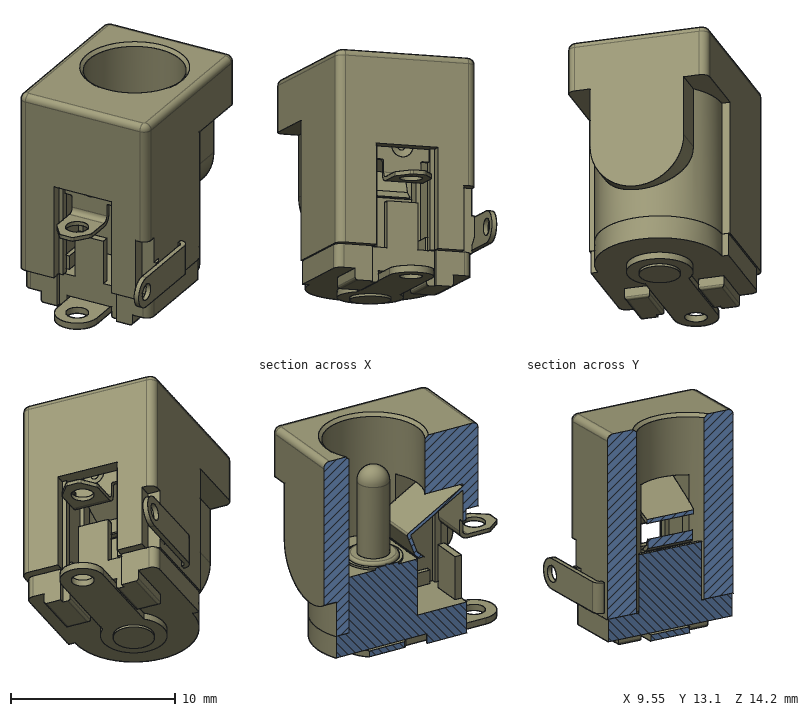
import cadquery as cq
import math


TOTAL_HEIGHT = 14.2
HALF_WIDTH = 4.5
FRONT_Y = -6.52
BACK_Y = 4.53
HOUSING_BOTTOM_Z = 2.19
HEAD_BOTTOM_Z = 10.89
CORNER_RADIUS = 0.51
TOP_EDGE_RADIUS = 0.41
BODY_RADIUS = 3.98
BACK_BOSS_RADIUS = 3.0
BACK_BOSS_CENTRE_Z = 7.05

BARREL_RADIUS = 3.14
BARREL_CHAMFER = 0.21
BARREL_FLOOR_Z = 5.99

SLOT_HALF_WIDTH = 2.0
CAVITY_HALF_WIDTH = 1.72
SLOT_TOP_Z = 8.46
SHOULDER_Y = -5.9
CAVITY_TOP_Z = 10.22
SHOULDER_BACK_Y = -5.45
POCKET_STEP_Y = -5.08
POCKET_STEP_Z = 3.11
POCKET_BACK_Y = -3.41

NOTCH_WIDTH = 0.82
NOTCH_BACK_Y = -5.68
NOTCH_TOP_Z = 6.22
CATCH_HEIGHT = 0.17
CATCH_TOP_Z = 4.55
CATCH_LENGTH = 0.6
CATCH_SIDE_RAMP = 0.31
CATCH_BOTTOM_Z = 2.7
CATCH_BOTTOM_RAMP = 0.53

TIP_Y = -8.58
TAB_HOLE_RADIUS = 0.7

SPRING_THICKNESS = 0.25
LEAF_FRONT_Y = -5.65
LEAF_SHOULDER_Z = 7.68
LEAF_CORNER_RADIUS = 0.13
TAB_TOP_Z = 6.53
TAB_HALF_WIDTH = 1.2
TAB_TIP_HALF_WIDTH = 0.44
TAB_CORNER_Y = -7.6
TAB_CORNER_RADIUS = 0.2
TAB_BEND_RADIUS = 0.34
TAB_HOLE_Y = -7.2
DIMPLE_Z = 8.59
DIMPLE_RADIUS = 0.7
DIMPLE_FLOOR_RADIUS = 0.24
DIMPLE_DEPTH = 0.17
CONTACT_Y = -1.39
CONTACT_Z = 7.81
CONTACT_EDGE_RADIUS = 0.14
CONTACT_HALF_WIDTH = 1.6
ARM_TAPER_START_Y = -2.48
ARM_TOP_Z = 10.08
TAIL_BEND = (-1.97, 6.28)
TAIL_END = (-2.7, 5.62)

SIDE_TERMINAL_THICKNESS = 0.31
SIDE_TERMINAL_OUTER_X = 5.05
SIDE_TERMINAL_BACK_Y = -2.33
SIDE_TERMINAL_Z = 3.52
SIDE_TERMINAL_HALF_WIDTH = 1.0
SIDE_BEND_RADIUS = 0.5
SIDE_HOLE_RADIUS = 0.53
SIDE_TERMINAL_ROOT = 0.71

BASE_BOTTOM_Z = 0.72
BASE_HALF_WIDTH = 4.4
BASE_FRONT_Y = -5.99
BASE_CORNER_RADIUS = 0.48
RECESS_HALF_WIDTH = 2.06
RECESS_BACK_Y = -5.7
FOOT_INNER_X = 1.56
FOOT_OUTER_X = 3.18
FOOT_BACK_Y = -2.85
FOOT_EDGE_RADIUS = 0.15
TONGUE_HALF_WIDTH = 1.0
TONGUE_TOP_Z = 5.1
TONGUE_BACK_Y = -5.23

PLUG_FRONT_Y = -2.19
PLUG_FRONT_HALF_WIDTH = 2.1
PLUG_CORNER_HALF_WIDTH = 2.37
PLUG_CORNER_Y = -1.9
COLLAR_RADIUS = 1.8
COLLAR_HEIGHT = 0.14
BOSS_RADIUS = 1.6
BOSS_HEIGHT = 0.37
BOSS_EDGE_RADIUS = 0.21
PIN_RADIUS = 1.01
PIN_TOP_Z = 12.2

REAR_TERMINAL_BOTTOM_Z = 0.2
REAR_TERMINAL_TOP_Z = 0.62
REAR_DISC_RADIUS = 2.03
REAR_TAB_HALF_WIDTH = 1.39
RIVET_NECK_RADIUS = 1.04
RIVET_HEAD_RADIUS = 1.26
RIVET_BOTTOM_Z = 0.04


def block(x0, x1, y0, y1, z0, z1):
    """Box between opposite corners."""
    return cq.Workplane("XY").box(x1 - x0, y1 - y0, z1 - z0, centered=False).translate((x0, y0, z0))


def disc(radius, z0, z1, y=0):
    """Upright cylinder with its axis at x = 0."""
    return cq.Workplane("XY").workplane(offset=z0).center(0, y).circle(radius).extrude(z1 - z0)


def x_prism(outline, half_width):
    """Prism along X, centred on x = 0, from (y, z) points."""
    return cq.Workplane("YZ").polyline(outline).close().extrude(half_width, both=True)


def strip_outline(path, thickness):
    """Outline of a bent strip that lies to the left of a path, with mitred bends."""
    angles = [math.atan2(b[1] - a[1], b[0] - a[0]) for a, b in zip(path, path[1:])]
    before = [angles[0]] + angles
    after = angles + [angles[-1]]
    far_side = []
    for (y, z), a, b in zip(path, before, after):
        reach = thickness / math.cos((b - a) / 2)
        normal = (a + b) / 2 + math.pi / 2
        far_side.append((y + reach * math.cos(normal), z + reach * math.sin(normal)))
    return path + far_side[::-1]


def housing_shell():
    head = block(-HALF_WIDTH, HALF_WIDTH, FRONT_Y, BACK_Y, HEAD_BOTTOM_Z, TOTAL_HEIGHT)
    head = head.edges("|Z").fillet(CORNER_RADIUS).faces(">Z").edges().fillet(TOP_EDGE_RADIUS)
    lower = block(-HALF_WIDTH, HALF_WIDTH, FRONT_Y, 0, HOUSING_BOTTOM_Z, HEAD_BOTTOM_Z)
    lower = lower.edges("|Z and <Y").fillet(CORNER_RADIUS)
    rear = disc(BODY_RADIUS, HOUSING_BOTTOM_Z, HEAD_BOTTOM_Z)
    return head.union(lower).union(rear).union(back_boss())


def back_boss():
    """Boss on the +Y side with a half-round lower end."""
    upper = block(-BACK_BOSS_RADIUS, BACK_BOSS_RADIUS, 0, BACK_Y, BACK_BOSS_CENTRE_Z, HEAD_BOTTOM_Z)
    lower_end = (
        cq.Workplane("XZ").center(0, BACK_BOSS_CENTRE_Z).circle(BACK_BOSS_RADIUS).extrude(-BACK_Y)
    )
    return upper.union(lower_end)


def barrel_bore():
    bore = disc(BARREL_RADIUS, HOUSING_BOTTOM_Z, TOTAL_HEIGHT)
    mouth = cq.Solid.makeCone(
        BARREL_RADIUS, BARREL_RADIUS + BARREL_CHAMFER, BARREL_CHAMFER,
        pnt=cq.Vector(0, 0, TOTAL_HEIGHT - BARREL_CHAMFER),
    )
    return bore.union(cq.Workplane(mouth))


def spring_opening():
    """Front slot with shoulders, the wider pocket behind them and the cavity up to the barrel."""
    slot = block(-SLOT_HALF_WIDTH, SLOT_HALF_WIDTH, FRONT_Y, SHOULDER_Y, HOUSING_BOTTOM_Z, SLOT_TOP_Z)
    passage = block(-CAVITY_HALF_WIDTH, CAVITY_HALF_WIDTH, SHOULDER_Y, 0, HOUSING_BOTTOM_Z, SLOT_TOP_Z)
    cavity = block(-CAVITY_HALF_WIDTH, CAVITY_HALF_WIDTH, LEAF_FRONT_Y, 0, HOUSING_BOTTOM_Z, CAVITY_TOP_Z)
    pocket = block(
        -SLOT_HALF_WIDTH, SLOT_HALF_WIDTH, SHOULDER_BACK_Y, POCKET_STEP_Y, HOUSING_BOTTOM_Z, SLOT_TOP_Z
    )
    raised_pocket = block(
        -SLOT_HALF_WIDTH, SLOT_HALF_WIDTH, POCKET_STEP_Y, POCKET_BACK_Y, POCKET_STEP_Z, SLOT_TOP_Z
    )
    return slot.union(passage).union(cavity).union(pocket).union(raised_pocket)


def corner_notch():
    return block(
        HALF_WIDTH - NOTCH_WIDTH, HALF_WIDTH, FRONT_Y, NOTCH_BACK_Y, HOUSING_BOTTOM_Z, NOTCH_TOP_Z
    )


def terminal_catch():
    """Wedge on the +X face, ramped at its rear and lower ends."""
    root_x = HALF_WIDTH - CATCH_HEIGHT
    crest_x = HALF_WIDTH + CATCH_HEIGHT
    rear_y = NOTCH_BACK_Y + CATCH_LENGTH
    plan = [
        (root_x, NOTCH_BACK_Y), (crest_x, NOTCH_BACK_Y), (crest_x, rear_y - CATCH_SIDE_RAMP),
        (HALF_WIDTH, rear_y), (root_x, rear_y),
    ]
    profile = [
        (root_x, CATCH_TOP_Z), (crest_x, CATCH_TOP_Z), (crest_x, CATCH_BOTTOM_Z + CATCH_BOTTOM_RAMP),
        (HALF_WIDTH, CATCH_BOTTOM_Z), (root_x, CATCH_BOTTOM_Z),
    ]
    plan_prism = (
        cq.Workplane("XY").workplane(offset=CATCH_BOTTOM_Z).polyline(plan).close()
        .extrude(CATCH_TOP_Z - CATCH_BOTTOM_Z)
    )
    side_prism = (
        cq.Workplane("XZ", origin=(0, rear_y, 0)).polyline(profile).close().extrude(CATCH_LENGTH)
    )
    return plan_prism.intersect(side_prism)


def spring_tab():
    """Solder tab with a tapered tip, the narrow leaf above it and the bend between them."""
    tab_bottom_z = TAB_TOP_Z - SPRING_THICKNESS
    leaf_back_y = LEAF_FRONT_Y + SPRING_THICKNESS
    profile = [
        (TIP_Y, tab_bottom_z), (leaf_back_y, tab_bottom_z), (leaf_back_y, LEAF_SHOULDER_Z),
        (LEAF_FRONT_Y, LEAF_SHOULDER_Z), (LEAF_FRONT_Y, TAB_TOP_Z), (TIP_Y, TAB_TOP_Z),
    ]
    bent = x_prism(profile, TAB_HALF_WIDTH)
    bent = bent.edges(cq.NearestToPointSelector((0, LEAF_FRONT_Y, TAB_TOP_Z))).fillet(TAB_BEND_RADIUS)
    bent = bent.edges(cq.NearestToPointSelector((0, leaf_back_y, tab_bottom_z))).fillet(
        TAB_BEND_RADIUS + SPRING_THICKNESS
    )
    plan = [
        (-TAB_HALF_WIDTH, leaf_back_y), (-TAB_HALF_WIDTH, TAB_CORNER_Y), (-TAB_TIP_HALF_WIDTH, TIP_Y),
        (TAB_TIP_HALF_WIDTH, TIP_Y), (TAB_HALF_WIDTH, TAB_CORNER_Y), (TAB_HALF_WIDTH, leaf_back_y),
    ]
    tapered = cq.Workplane("XY").polyline(plan).close().extrude(TOTAL_HEIGHT)
    tapered = tapered.edges("|Z and (not >Y)").fillet(TAB_CORNER_RADIUS)
    hole = disc(TAB_HOLE_RADIUS, tab_bottom_z, TAB_TOP_Z, y=TAB_HOLE_Y)
    return bent.intersect(tapered).cut(hole)


def spring_leaf():
    """Wide upright leaf held between the slot shoulders, with a dimple in its front."""
    leaf = block(
        -CAVITY_HALF_WIDTH, CAVITY_HALF_WIDTH, LEAF_FRONT_Y, LEAF_FRONT_Y + SPRING_THICKNESS,
        LEAF_SHOULDER_Z, CAVITY_TOP_Z,
    )
    dimple = cq.Solid.makeCone(
        DIMPLE_RADIUS, DIMPLE_FLOOR_RADIUS, DIMPLE_DEPTH,
        pnt=cq.Vector(0, LEAF_FRONT_Y, DIMPLE_Z), dir=cq.Vector(0, 1, 0),
    )
    return leaf.cut(cq.Workplane(dimple))


def spring_arm():
    """Contact arm that slopes down from the leaf to the barrel, and its returning tail."""
    top_y = LEAF_FRONT_Y + SPRING_THICKNESS
    arm_path = [(top_y, ARM_TOP_Z), (CONTACT_Y, CONTACT_Z)]
    arm = x_prism(strip_outline(arm_path, -SPRING_THICKNESS), CAVITY_HALF_WIDTH)
    taper = [
        (-CAVITY_HALF_WIDTH, LEAF_FRONT_Y), (-CAVITY_HALF_WIDTH, ARM_TAPER_START_Y),
        (-CONTACT_HALF_WIDTH, CONTACT_Y), (CONTACT_HALF_WIDTH, CONTACT_Y),
        (CAVITY_HALF_WIDTH, ARM_TAPER_START_Y), (CAVITY_HALF_WIDTH, LEAF_FRONT_Y),
    ]
    arm = arm.intersect(cq.Workplane("XY").polyline(taper).close().extrude(TOTAL_HEIGHT))
    tail_path = [(CONTACT_Y, CONTACT_Z), TAIL_BEND, TAIL_END]
    tail = x_prism(strip_outline(tail_path, -SPRING_THICKNESS), CONTACT_HALF_WIDTH)
    below_floor = block(
        -CONTACT_HALF_WIDTH, CONTACT_HALF_WIDTH, LEAF_FRONT_Y, 0, HOUSING_BOTTOM_Z, BARREL_FLOOR_Z
    )
    tail = tail.cut(below_floor)
    arm = arm.union(tail)
    return arm.edges(cq.NearestToPointSelector((0, CONTACT_Y, CONTACT_Z))).fillet(CONTACT_EDGE_RADIUS)


def make_spring():
    """Whole spring contact, with rounded inner corners where the wide leaf meets the narrow one."""
    front = spring_leaf().union(spring_tab())
    for side in (-1, 1):
        corner = (side * TAB_HALF_WIDTH, LEAF_FRONT_Y + SPRING_THICKNESS / 2, LEAF_SHOULDER_Z)
        front = front.edges(cq.NearestToPointSelector(corner)).fillet(LEAF_CORNER_RADIUS)
    return front.union(spring_arm())


def side_terminal():
    """Strip that leaves the +X wall, turns forward and ends in a rounded solder tab."""
    inner_x = SIDE_TERMINAL_OUTER_X - SIDE_TERMINAL_THICKNESS
    root_x = HALF_WIDTH - SIDE_TERMINAL_ROOT
    outline = [
        (root_x, SIDE_TERMINAL_BACK_Y), (SIDE_TERMINAL_OUTER_X, SIDE_TERMINAL_BACK_Y),
        (SIDE_TERMINAL_OUTER_X, TIP_Y), (inner_x, TIP_Y),
        (inner_x, SIDE_TERMINAL_BACK_Y - SIDE_TERMINAL_THICKNESS),
        (root_x, SIDE_TERMINAL_BACK_Y - SIDE_TERMINAL_THICKNESS),
    ]
    strip = (
        cq.Workplane("XY").workplane(offset=SIDE_TERMINAL_Z - SIDE_TERMINAL_HALF_WIDTH)
        .polyline(outline).close().extrude(2 * SIDE_TERMINAL_HALF_WIDTH)
    )
    outer_corner = (SIDE_TERMINAL_OUTER_X, SIDE_TERMINAL_BACK_Y, SIDE_TERMINAL_Z)
    inner_corner = (inner_x, SIDE_TERMINAL_BACK_Y - SIDE_TERMINAL_THICKNESS, SIDE_TERMINAL_Z)
    strip = strip.edges(cq.NearestToPointSelector(outer_corner)).fillet(SIDE_BEND_RADIUS)
    strip = strip.edges(cq.NearestToPointSelector(inner_corner)).fillet(
        SIDE_BEND_RADIUS - SIDE_TERMINAL_THICKNESS
    )
    tip_centre_y = TIP_Y + SIDE_TERMINAL_HALF_WIDTH
    strip_length = SIDE_TERMINAL_BACK_Y - tip_centre_y
    side_face = cq.Workplane("YZ").center(tip_centre_y, SIDE_TERMINAL_Z)
    straight = (
        cq.Workplane("YZ").center(tip_centre_y + strip_length / 2, SIDE_TERMINAL_Z)
        .rect(strip_length, 2 * SIDE_TERMINAL_HALF_WIDTH).extrude(SIDE_TERMINAL_OUTER_X)
    )
    rounded_tip = side_face.circle(SIDE_TERMINAL_HALF_WIDTH).extrude(SIDE_TERMINAL_OUTER_X)
    hole = side_face.circle(SIDE_HOLE_RADIUS).extrude(SIDE_TERMINAL_OUTER_X)
    return strip.intersect(straight.union(rounded_tip)).cut(hole)


def make_housing():
    plastic = housing_shell().cut(barrel_bore()).cut(spring_opening()).cut(corner_notch())
    plastic = plastic.union(terminal_catch())
    return plastic.union(make_spring()).union(side_terminal())


def insert_base():
    front = block(-BASE_HALF_WIDTH, BASE_HALF_WIDTH, BASE_FRONT_Y, 0, BASE_BOTTOM_Z, HOUSING_BOTTOM_Z)
    front = front.edges("|Z and <Y").fillet(BASE_CORNER_RADIUS)
    base = front.union(disc(BODY_RADIUS, BASE_BOTTOM_Z, HOUSING_BOTTOM_Z))
    for side in (-1, 1):
        base = base.union(foot(side))
    recess = block(-RECESS_HALF_WIDTH, RECESS_HALF_WIDTH, BASE_FRONT_Y, RECESS_BACK_Y, 0, HOUSING_BOTTOM_Z)
    return base.cut(recess)


def foot(side):
    """Stand-off under the base, with rounded lower edges except at the front."""
    x0, x1 = sorted((side * FOOT_INNER_X, side * FOOT_OUTER_X))
    pad = block(x0, x1, BASE_FRONT_Y, FOOT_BACK_Y, 0, BASE_BOTTOM_Z)
    return pad.faces("<Z").edges("not <Y").fillet(FOOT_EDGE_RADIUS)


def tongue():
    return block(
        -TONGUE_HALF_WIDTH, TONGUE_HALF_WIDTH, RECESS_BACK_Y, TONGUE_BACK_Y, HOUSING_BOTTOM_Z, TONGUE_TOP_Z
    )


def plug():
    """Barrel floor, cut away at the front to clear the spring."""
    outline = [
        (-BARREL_RADIUS, BARREL_RADIUS), (-BARREL_RADIUS, PLUG_CORNER_Y),
        (-PLUG_CORNER_HALF_WIDTH, PLUG_CORNER_Y), (-PLUG_FRONT_HALF_WIDTH, PLUG_FRONT_Y),
        (PLUG_FRONT_HALF_WIDTH, PLUG_FRONT_Y), (PLUG_CORNER_HALF_WIDTH, PLUG_CORNER_Y),
        (BARREL_RADIUS, PLUG_CORNER_Y), (BARREL_RADIUS, BARREL_RADIUS),
    ]
    kept = cq.Workplane("XY").polyline(outline).close().extrude(TOTAL_HEIGHT)
    return disc(BARREL_RADIUS, HOUSING_BOTTOM_Z, BARREL_FLOOR_Z).intersect(kept)


def pin():
    collar = disc(COLLAR_RADIUS, BARREL_FLOOR_Z, BARREL_FLOOR_Z + COLLAR_HEIGHT)
    boss = disc(BOSS_RADIUS, BARREL_FLOOR_Z, BARREL_FLOOR_Z + BOSS_HEIGHT)
    boss = boss.faces(">Z").edges().fillet(BOSS_EDGE_RADIUS)
    dome_z = PIN_TOP_Z - PIN_RADIUS
    shaft = disc(PIN_RADIUS, BARREL_FLOOR_Z, dome_z)
    dome = cq.Workplane("XY").sphere(PIN_RADIUS).translate((0, 0, dome_z))
    return collar.union(boss).union(shaft).union(dome)


def rear_terminal():
    """Disc and solder tab riveted under the base."""
    tip_centre_y = TIP_Y + REAR_TAB_HALF_WIDTH
    z0, z1 = REAR_TERMINAL_BOTTOM_Z, REAR_TERMINAL_TOP_Z
    strip = block(-REAR_TAB_HALF_WIDTH, REAR_TAB_HALF_WIDTH, tip_centre_y, 0, z0, z1)
    plate = disc(REAR_DISC_RADIUS, z0, z1).union(strip)
    plate = plate.union(disc(REAR_TAB_HALF_WIDTH, z0, z1, y=tip_centre_y))
    plate = plate.cut(disc(TAB_HOLE_RADIUS, z0, z1, y=tip_centre_y))
    neck = disc(RIVET_NECK_RADIUS, z1, BASE_BOTTOM_Z)
    head = disc(RIVET_HEAD_RADIUS, RIVET_BOTTOM_Z, z0)
    return plate.union(neck).union(head)


def make_insert():
    return insert_base().union(tongue()).union(plug()).union(pin()).union(rear_terminal())


housing = make_housing()
insert = make_insert()

result = cq.Compound.makeCompound([housing.solids().val(), insert.solids().val()])